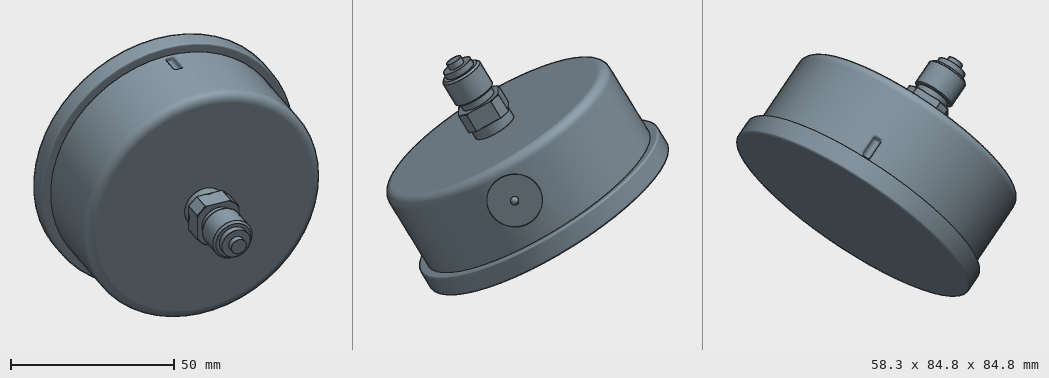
import cadquery as cq
import math

total_length = 58.3

bezel_diameter = 84.8
bezel_width = 6.6
bezel_edge_radius = 0.6

case_diameter = 79.0
case_radius = case_diameter / 2
case_back_x = 33.3
case_back_radius = 3.0

stub_diameter = 13.5
wrench_start_x = 36.9
wrench_end_x = 43.2
wrench_across_flats = 14.0
wrench_flat_width = 8.6
wrench_corner_chamfer = 0.3
neck_diameter = 11.0
thread_start_x = 45.5
thread_end_x = 54.3
thread_diameter = 13.16
thread_start_chamfer = 0.4
thread_end_chamfer = 0.7
spigot_diameter = 9.5
tip_diameter = 5.0
tip_length = 2.0
tip_start_x = total_length - tip_length

recess_center_x = 11.05
recess_length = 6.9
recess_width = 2.5
recess_end_radius = 0.65
recess_mouth_radius = 0.7

plug_x = 21.2
plug_diameter = 17.0
plug_face_z = -39.0
plug_height = 2.0
pin_diameter = 2.5
pin_nose_center_z = -39.7


def rod(diameter, start_x, end_x):
    """Cylinder on the gauge axis between two X positions."""
    return cq.Workplane("YZ").workplane(offset=start_x).circle(diameter / 2).extrude(end_x - start_x)


def make_bezel():
    return rod(bezel_diameter, 0, bezel_width).edges().fillet(bezel_edge_radius)


def make_case():
    return rod(case_diameter, 0, case_back_x).faces(">X").edges().fillet(case_back_radius)


def make_recess_cutter():
    """Trough with a half-round floor and rounded ends, open towards +Z."""
    axis_z = case_radius - recess_mouth_radius
    start_x = recess_center_x - recess_length / 2
    floor = (
        rod(recess_width, start_x, start_x + recess_length)
        .edges("%CIRCLE")
        .fillet(recess_end_radius)
        .translate((0, 0, axis_z))
    )
    mouth = (
        cq.Workplane("XY")
        .workplane(offset=axis_z)
        .center(recess_center_x, 0)
        .rect(recess_length, recess_width)
        .extrude(2 * recess_mouth_radius)
        .edges("|Z")
        .fillet(recess_end_radius)
    )
    return floor.union(mouth)


def cut_recess(case):
    """Cut the recess into the top of the case and round its mouth."""
    mouth_region = cq.selectors.BoxSelector(
        (recess_center_x - recess_length, -recess_width, case_radius - recess_mouth_radius / 2),
        (recess_center_x + recess_length, recess_width, case_radius + recess_mouth_radius),
    )
    return case.cut(make_recess_cutter()).edges(mouth_region).fillet(recess_mouth_radius)


def add_plug(case):
    """Set the flat plug into the underside of the case and place the round-nosed pin on it."""
    plug_plane = cq.Workplane("XY").workplane(offset=plug_face_z).center(plug_x, 0)
    clearance = plug_plane.circle(plug_diameter / 2).extrude(-plug_height)
    plug = plug_plane.circle(plug_diameter / 2).extrude(plug_height)
    pin = plug_plane.circle(pin_diameter / 2).extrude(pin_nose_center_z - plug_face_z)
    nose = cq.Workplane("XY").sphere(pin_diameter / 2).translate((plug_x, 0, pin_nose_center_z))
    return case.cut(clearance).union(plug).union(pin).union(nose)


def make_wrench_block():
    """Square block with chamfered corners, turned down slightly at its outer end."""
    length = wrench_end_x - wrench_start_x
    corner_cut = (wrench_across_flats - wrench_flat_width) / 2
    block = (
        cq.Workplane("YZ")
        .workplane(offset=wrench_start_x)
        .rect(wrench_across_flats, wrench_across_flats)
        .extrude(length)
        .edges("|X")
        .chamfer(corner_cut)
    )
    corner_diameter = math.hypot(wrench_across_flats, wrench_flat_width)
    envelope = (
        rod(corner_diameter, wrench_start_x, wrench_end_x)
        .faces(">X")
        .edges()
        .chamfer(wrench_corner_chamfer)
    )
    return block.intersect(envelope)


def make_thread():
    return (
        rod(thread_diameter, thread_start_x, thread_end_x)
        .faces("<X")
        .edges()
        .chamfer(thread_start_chamfer)
        .faces(">X")
        .edges()
        .chamfer(thread_end_chamfer)
    )


def make_connection():
    stub = rod(stub_diameter, case_back_x, wrench_start_x)
    neck = rod(neck_diameter, wrench_end_x, thread_start_x)
    spigot = rod(spigot_diameter, thread_end_x, tip_start_x)
    tip = rod(tip_diameter, tip_start_x, total_length)
    return stub.union(make_wrench_block()).union(neck).union(make_thread()).union(spigot).union(tip)


case_with_details = add_plug(cut_recess(make_case()))
result = case_with_details.union(make_bezel()).union(make_connection())